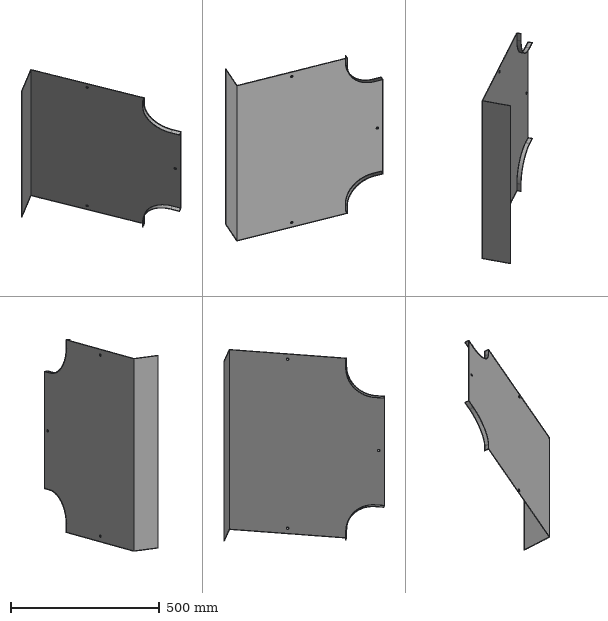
import cadquery as cq

width = 532.0
depth = 100.0
height = 662.0
sheet = 0.8

notch_size = 130.0
notch_radius = 99.0
notch_flange_depth = 15.0

hole_diameter = 7.0
hole_inset = 20.0
edge_hole_x = 200.0


def notch_prism(size, radius, length):
    """Upper-right corner block, rounded at its inner corner, reaching forward from the back face."""
    return (
        cq.Workplane("XY")
        .box(size, length, size, centered=False)
        .edges("<X and <Z")
        .fillet(radius)
        .translate((width - size, depth - length, height - size))
    )


def lower_copy(upper):
    """Mirror an upper feature about the panel's mid-height."""
    return upper.mirror("XY", (0, 0, height / 2))


panel = cq.Workplane("XY").box(width, sheet, height, centered=False).translate((0, depth - sheet, 0))
left_flange = cq.Workplane("XY").box(sheet, depth, height, centered=False)
result = panel.union(left_flange)

flange_block = notch_prism(notch_size + sheet, notch_radius + sheet, notch_flange_depth)
notch = notch_prism(notch_size, notch_radius, depth)
result = result.union(flange_block).union(lower_copy(flange_block))
result = result.cut(notch).cut(lower_copy(notch))

hole_centers = [
    (edge_hole_x, hole_inset),
    (edge_hole_x, height - hole_inset),
    (width - hole_inset, height / 2),
]
for x, z in hole_centers:
    hole = cq.Workplane("XZ", origin=(x, depth, z)).circle(hole_diameter / 2).extrude(2 * sheet)
    result = result.cut(hole)